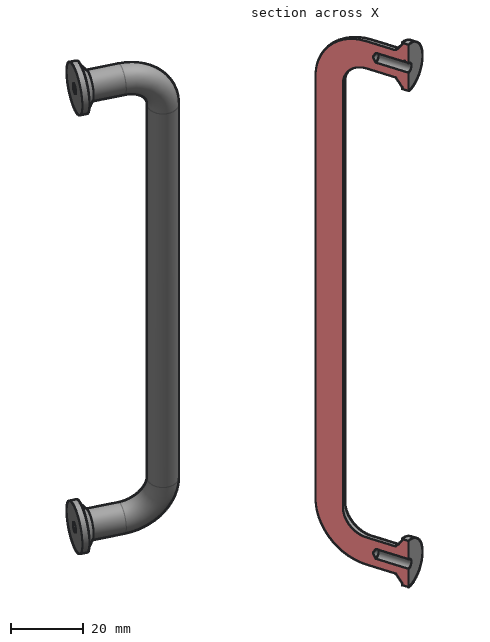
import cadquery as cq
import math

overall_length = 175.0
overall_depth = 30.0
bar_diameter = 9.0
bend_radius = 11.9

foot_diameter = 15.0
disc_thickness = 2.1
cone_height = 2.1
cone_base_diameter = 14.0

hole_diameter = 3.0
hole_depth = 10.5
drill_point_angle = 118.0

foot_offset = (overall_length - foot_diameter) / 2
mount_y = -overall_depth / 2
bar_y = overall_depth / 2 - bar_diameter / 2


def make_bar():
    """Round bar swept along a U-shaped path with two quarter bends."""
    bend_start_y = bar_y - bend_radius
    bend_end_z = foot_offset - bend_radius
    diagonal = bend_radius * math.sqrt(0.5)
    mid_y = bend_start_y + diagonal
    mid_z = bend_end_z + diagonal
    path = (
        cq.Workplane("YZ")
        .moveTo(mount_y, -foot_offset)
        .lineTo(bend_start_y, -foot_offset)
        .threePointArc((mid_y, -mid_z), (bar_y, -bend_end_z))
        .lineTo(bar_y, bend_end_z)
        .threePointArc((mid_y, mid_z), (bend_start_y, foot_offset))
        .lineTo(mount_y, foot_offset)
    )
    section = cq.Workplane("XZ", origin=(0, mount_y, -foot_offset)).circle(bar_diameter / 2)
    return section.sweep(path)


def revolve_about_foot_axis(points, z):
    """Revolve (radius, distance from mounting face) points about a foot's Y axis."""
    profile = cq.Workplane("XY", origin=(0, mount_y, z)).polyline(points).close()
    return profile.revolve(360, (0, 0, 0), (0, 1, 0))


def make_foot(z):
    cone_top = disc_thickness + cone_height
    points = [
        (0, 0),
        (foot_diameter / 2, 0),
        (foot_diameter / 2, disc_thickness),
        (cone_base_diameter / 2, disc_thickness),
        (bar_diameter / 2, cone_top),
        (0, cone_top),
    ]
    return revolve_about_foot_axis(points, z)


def make_hole(z):
    hole_radius = hole_diameter / 2
    tip_length = hole_radius / math.tan(math.radians(drill_point_angle / 2))
    points = [
        (0, 0),
        (hole_radius, 0),
        (hole_radius, hole_depth),
        (0, hole_depth + tip_length),
    ]
    return revolve_about_foot_axis(points, z)


result = make_bar()
for foot_z in (-foot_offset, foot_offset):
    result = result.union(make_foot(foot_z)).cut(make_hole(foot_z))